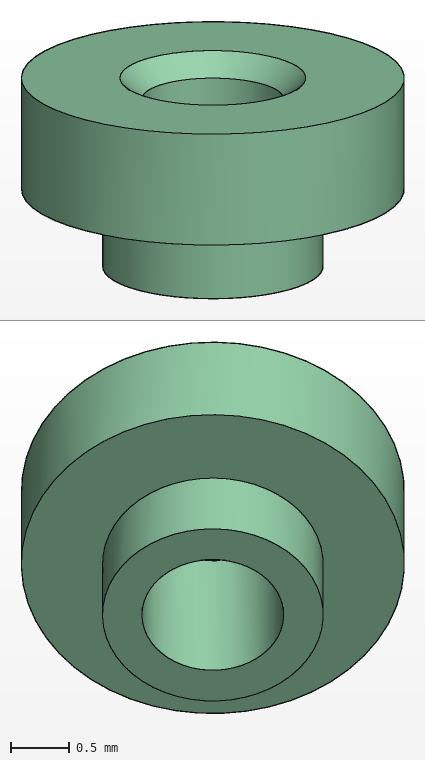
import cadquery as cq

flange_diameter = 3.3
flange_height = 1.0
boss_diameter = 1.9
boss_height = 0.7
bore_diameter = 1.22
countersink_diameter = 1.6

total_height = boss_height + flange_height
countersink_depth = (countersink_diameter - bore_diameter) / 2

boss = cq.Workplane("XY").circle(boss_diameter / 2).extrude(boss_height)
flange = (
    cq.Workplane("XY")
    .workplane(offset=boss_height)
    .circle(flange_diameter / 2)
    .extrude(flange_height)
)

bore = cq.Workplane("XY").circle(bore_diameter / 2).extrude(total_height)
countersink = (
    cq.Workplane("XY")
    .workplane(offset=total_height - countersink_depth)
    .circle(bore_diameter / 2)
    .workplane(offset=countersink_depth)
    .circle(countersink_diameter / 2)
    .loft()
)

result = boss.union(flange).cut(bore).cut(countersink)